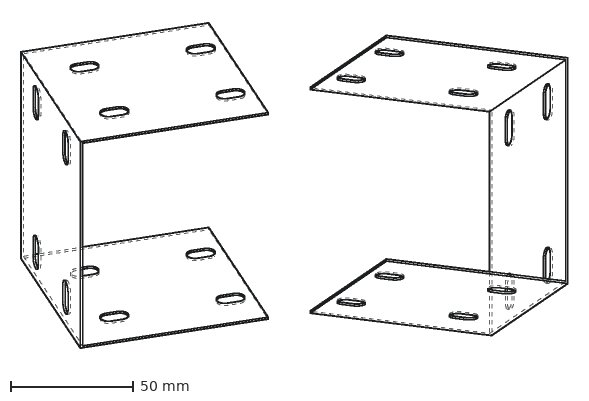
import cadquery as cq

width = 80.0
depth = 80.9
height = 96.7
sheet = 1.0

slot_width = 7.0
slot_spacing_x = 40.05

wall_slot_length = 15.0
wall_slot_spacing = 70.0

flange_slot_length = 12.0
flange_slot_spacing = 50.0
flange_slot_center = 46.0


def slot_cutter(plane, length, spacing, cut_depth):
    """Return four slots in a two-by-two pattern, lengthwise along the plane's local Y."""
    return (
        cq.Workplane(plane)
        .rarray(slot_spacing_x, spacing, 2, 2)
        .slot2D(length, slot_width, 90)
        .extrude(cut_depth)
    )


def block_toward_y(length, tall):
    """Full-width block from Y = 0 toward +Y, centered on X and Z."""
    return cq.Workplane("XY").box(width, length, tall, centered=(True, False, True))


opening = block_toward_y(depth - sheet, height - 2 * sheet).translate((0, sheet, 0))
channel = block_toward_y(depth, height).cut(opening)

wall_plane = cq.Plane(origin=(0, sheet, 0), xDir=(1, 0, 0), normal=(0, -1, 0))
wall_slots = slot_cutter(wall_plane, wall_slot_length, wall_slot_spacing, sheet)

flange_plane = cq.Plane(
    origin=(0, flange_slot_center, -height / 2), xDir=(1, 0, 0), normal=(0, 0, 1)
)
flange_slots = slot_cutter(flange_plane, flange_slot_length, flange_slot_spacing, height)

result = channel.cut(wall_slots).cut(flange_slots)